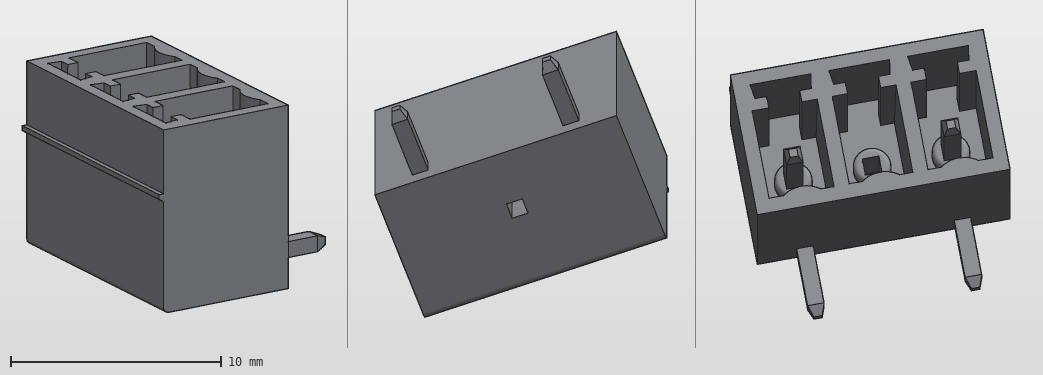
import cadquery as cq


body_width = 12.23
body_depth = 7.0
body_height = 9.2
wall = 0.7
front_edge_radius = 0.3

rib_projection = 0.25
rib_top = 6.0
rib_outer_bottom = 5.75
rib_bottom = 5.6
rib_root = wall / 2

pitch = 3.81
contact_y = 4.0
contact_positions = (-pitch, 0, pitch)
pin_positions = (-pitch, pitch)

floor_height = 2.2
pocket_depth = body_height - floor_height
pocket_back = body_depth - wall
partition = 0.73
middle_draft = 0.08
outer_draft = 0.055
bulge_half_width = 0.9
bulge_height = 0.3

neck_back = 1.93
neck_front = 1.36
neck_width = 1.6
key_front = 0.65
key_back_width = 2.72
key_front_width = 2.94
key_draft = 0.03

collar_diameter = 1.8
collar_height = 0.8
collar_radius = 0.25

pin_size = 0.8
pin_tip_size = 0.4
pin_tip_length = 0.55
pin_axis_height = 1.2
pin_top = 8.0
tail_projection = 3.4
pin_back = body_depth + tail_projection


def make_housing():
    """Block with a rounded lower front edge and a snap rib along the front."""
    block = cq.Workplane("XY").box(body_width, body_depth, body_height, centered=(True, False, False))
    block = block.faces("<Y").edges("<Z").fillet(front_edge_radius)
    rib = (
        cq.Workplane("YZ")
        .moveTo(0, rib_bottom)
        .lineTo(-rib_projection, rib_outer_bottom)
        .lineTo(-rib_projection, rib_top)
        .lineTo(rib_root, rib_top)
        .lineTo(rib_root, rib_bottom)
        .close()
        .extrude(body_width / 2, both=True)
    )
    return block.union(rib)


def pocket_sides(x):
    """Left and right limits of the pocket at x, each with its draft from top to floor."""
    partition_face = (pitch - partition) / 2
    outer_face = body_width / 2 - wall
    if x == 0:
        return (-partition_face, middle_draft), (partition_face, middle_draft)
    inner_face = partition_face + partition
    if x < 0:
        return (-outer_face, 0), (-inner_face, outer_draft)
    return (inner_face, outer_draft), (outer_face, 0)


def key_outline(back):
    """Corners of the trapezoidal key part of a slot, with its back edge at the given Y."""
    return [
        (-key_front_width / 2, key_front),
        (key_front_width / 2, key_front),
        (key_back_width / 2, back),
        (-key_back_width / 2, back),
    ]


def make_pocket(x):
    """Cutter for one plug pocket: drafted chamber, rounded back bulge and key slot."""
    (left, left_draft), (right, right_draft) = pocket_sides(x)
    chamber = (
        cq.Workplane("XZ", origin=(0, pocket_back, 0))
        .moveTo(left, body_height)
        .lineTo(right, body_height)
        .lineTo(right - right_draft, floor_height)
        .lineTo(left + left_draft, floor_height)
        .close()
        .extrude(pocket_back - neck_back)
    )
    bulge = (
        cq.Workplane("XY", origin=(x, pocket_back, floor_height))
        .moveTo(-bulge_half_width, 0)
        .threePointArc((0, -bulge_height), (bulge_half_width, 0))
        .close()
        .extrude(pocket_depth)
    )
    neck_length = neck_back - key_front
    neck = (
        cq.Workplane("XY", origin=(x, key_front + neck_length / 2, floor_height))
        .rect(neck_width, neck_length)
        .extrude(pocket_depth)
    )
    key = (
        cq.Workplane("XY", origin=(x, 0, floor_height))
        .polyline(key_outline(neck_front - key_draft))
        .close()
        .workplane(offset=pocket_depth)
        .polyline(key_outline(neck_front))
        .close()
        .loft(ruled=True)
    )
    return chamber.cut(bulge).union(neck).union(key)


def make_collar(x):
    """Round collar with a rounded rim, standing on the pocket floor."""
    collar = (
        cq.Workplane("XY", origin=(x, contact_y, floor_height))
        .circle(collar_diameter / 2)
        .extrude(collar_height)
    )
    return collar.faces(">Z").edges().fillet(collar_radius)


def make_pin_leg(plane, start, length):
    """Square bar of the given length along the plane normal, ending in a tapered tip."""
    straight_length = length - pin_tip_length
    bar = cq.Workplane(plane, origin=start).rect(pin_size, pin_size).extrude(straight_length)
    tip = (
        cq.Workplane(plane, origin=start)
        .workplane(offset=straight_length)
        .rect(pin_size, pin_size)
        .workplane(offset=pin_tip_length)
        .rect(pin_tip_size, pin_tip_size)
        .loft()
    )
    return bar.union(tip)


def make_pin(x):
    """Contact rising through the collar, with its solder tail out of the back wall."""
    bend = (x, contact_y, pin_axis_height)
    contact = make_pin_leg("XY", bend, pin_top - pin_axis_height)
    tail = make_pin_leg("ZX", bend, pin_back - contact_y)
    return contact.union(tail)


result = make_housing()
for position in contact_positions:
    result = result.cut(make_pocket(position)).union(make_collar(position))
for position in pin_positions:
    result = result.union(make_pin(position))

empty_hole = (
    cq.Workplane("XY", origin=(0, contact_y, 0))
    .rect(pin_size, pin_size)
    .extrude(body_height)
)
result = result.cut(empty_hole)